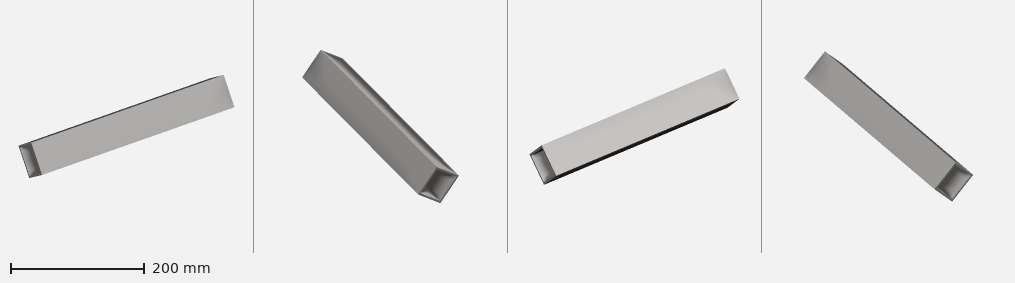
import cadquery as cq

length = 330.2
outer_side = 51.0
wall = 3.17
roll_angle = 40.0

inner_side = outer_side - 2 * wall

section = (
    cq.Sketch()
    .rect(outer_side, outer_side, angle=roll_angle)
    .rect(inner_side, inner_side, angle=roll_angle, mode="s")
)

result = (
    cq.Workplane("XZ")
    .placeSketch(section)
    .extrude(length / 2, both=True)
)